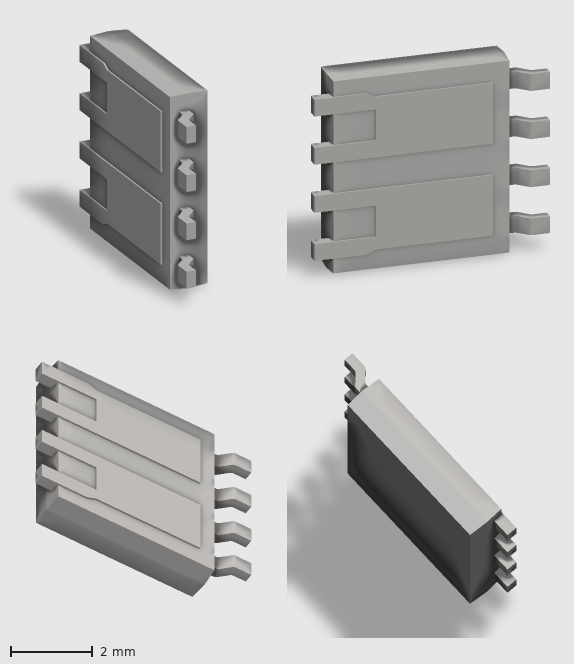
import cadquery as cq


length = 6.04
depth = 1.07
height = 5.12

body_left = 0.47
body_right = 5.04
standoff = 0.05
band_bottom = 0.54
band_top = 0.575
draft_inset = 0.03

lead_pitch = 1.27
lead_width = 0.44
left_lead_thickness = 0.29
right_lead_thickness = 0.255
bend_start = 5.24
bend_end = 5.545
bend_radius = 0.12
top_bend_shift = 0.09
lead_root = 0.12

pad_left = 1.57
pad_right = 4.58
pad_edge_step = 0.11
taper_start = 1.33

half_lead = lead_width / 2
inner_lead_z = lead_pitch / 2
outer_lead_z = 1.5 * lead_pitch


def xz_plane(y):
    """Plane at the given Y, with its normal along +Y and local y along -Z."""
    return cq.Workplane(cq.Plane(origin=(0, y, 0), xDir=(1, 0, 0), normal=(0, 1, 0)))


def body_section(plane, inset):
    center_x = (body_left + body_right) / 2
    return plane.center(center_x, 0).rect(body_right - body_left - 2 * inset, height - 2 * inset)


def drafted_half(outer_y, parting_y):
    """Half of the body that narrows from the parting band to its outer face."""
    section = body_section(xz_plane(outer_y), draft_inset).workplane(offset=parting_y - outer_y)
    return section.rect(body_right - body_left, height).loft(ruled=True)


def make_body():
    band = body_section(xz_plane(band_bottom), 0).extrude(band_top - band_bottom)
    return drafted_half(standoff, band_bottom).union(band).union(drafted_half(depth, band_top))


def make_pad():
    """Upper pad with its pair of flat leads."""
    lead_top = outer_lead_z + half_lead
    notch_top = outer_lead_z - half_lead
    notch_bottom = inner_lead_z + half_lead
    pad_bottom = inner_lead_z - half_lead
    pad_top = lead_top - pad_edge_step
    outline = [
        (0, lead_top),
        (taper_start, lead_top),
        (pad_left, pad_top),
        (pad_right, pad_top),
        (pad_right, pad_bottom),
        (0, pad_bottom),
        (0, notch_bottom),
        (pad_left, notch_bottom),
        (pad_left, notch_top),
        (0, notch_top),
    ]
    return cq.Workplane("XZ").polyline(outline).close().extrude(-left_lead_thickness)


def make_bent_lead(z):
    """Lead that leaves the body below the parting band and steps down to the solder plane."""
    root_x = body_right - lead_root
    underside = band_bottom - right_lead_thickness
    outline = [
        (root_x, underside),
        (bend_start, underside),
        (bend_end, 0),
        (length, 0),
        (length, right_lead_thickness),
        (bend_end + top_bend_shift, right_lead_thickness),
        (bend_start + top_bend_shift, band_bottom),
        (root_x, band_bottom),
    ]
    lead = cq.Workplane("XY", origin=(0, 0, z - half_lead)).polyline(outline).close().extrude(lead_width)
    bend_box = cq.selectors.BoxSelector(
        (bend_start - 0.005, -0.06, z - lead_width),
        (bend_end + top_bend_shift + 0.005, depth, z + lead_width),
    )
    return lead.edges("|Z").edges(bend_box).fillet(bend_radius)


result = make_body()

upper_pad = make_pad()
result = result.union(upper_pad).union(upper_pad.mirror("XY"))

for lead_z in (-outer_lead_z, -inner_lead_z, inner_lead_z, outer_lead_z):
    result = result.union(make_bent_lead(lead_z))